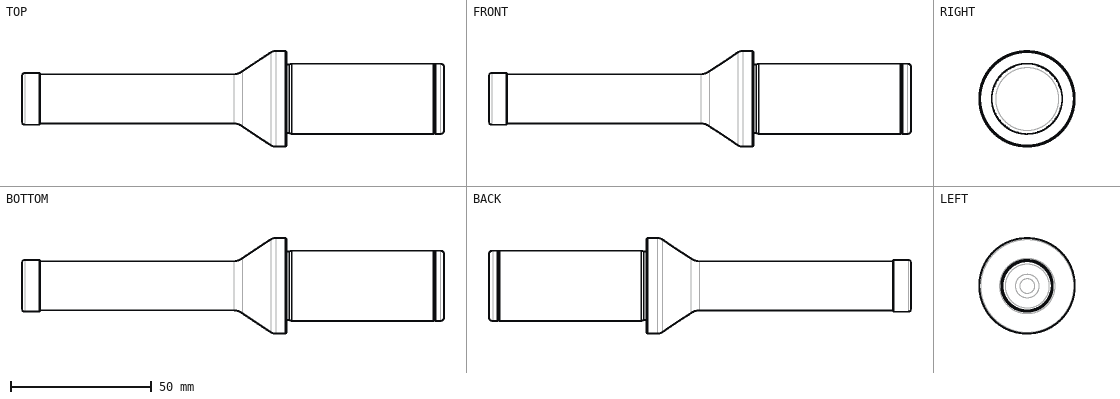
import cadquery as cq
import math

total_length = 150.0

tip_diameter = 18.5
tip_length = 6.6
tip_round_length = 1.0
face_diameter = 15.6
face_bevel_diameter = 17.4
face_bevel_depth = 0.2
tip_round = 1.0
tip_step_run = 0.5

stem_diameter = 17.5
stem_end = 75.3
cone_start = 78.3
cone_start_diameter = 19.6

collar_diameter = 34.0
cone_end = 88.4
cone_end_diameter = 33.0
rim_start = 90.2
collar_end = 94.0
collar_chamfer = 0.5

shank_diameter = 25.0
neck_diameter = 24.5
neck_end = 95.0
neck_taper_end = 95.8

joint_x = 146.5
joint_chamfer = 0.5
cap_round = 1.4

dimple_diameter = 8.4
dimple_depth = 0.2
centre_diameter = 5.2
centre_angle = 160.0


def make_pin():
    """Turned pin: tip, stem, conical collar and shank."""
    tip_radius = tip_diameter / 2
    stem_radius = stem_diameter / 2
    collar_radius = collar_diameter / 2
    shank_radius = shank_diameter / 2
    neck_radius = neck_diameter / 2
    profile = (
        cq.Workplane("XY")
        .lineTo(0, face_diameter / 2)
        .lineTo(face_bevel_depth, face_bevel_diameter / 2)
        .radiusArc((tip_round_length, tip_radius), tip_round)
        .lineTo(tip_length - tip_step_run, tip_radius)
        .lineTo(tip_length, stem_radius)
        .lineTo(stem_end, stem_radius)
        .tangentArcPoint((cone_start, cone_start_diameter / 2), relative=False)
        .lineTo(cone_end, cone_end_diameter / 2)
        .tangentArcPoint((rim_start, collar_radius), relative=False)
        .lineTo(collar_end - collar_chamfer, collar_radius)
        .lineTo(collar_end, collar_radius - collar_chamfer)
        .lineTo(collar_end, neck_radius)
        .lineTo(neck_end, neck_radius)
        .lineTo(neck_taper_end, shank_radius)
        .lineTo(joint_x - joint_chamfer, shank_radius)
        .lineTo(joint_x, shank_radius - joint_chamfer)
        .lineTo(joint_x, 0)
        .close()
    )
    return profile.revolve(360, (0, 0, 0), (1, 0, 0))


def make_centre_dimple():
    """Two nested cones: a wide, very shallow one around a slightly steeper centre."""
    cone_depth = centre_diameter / 2 / math.tan(math.radians(centre_angle / 2))
    profile = (
        cq.Workplane("XY")
        .lineTo(0, dimple_diameter / 2)
        .lineTo(dimple_depth, centre_diameter / 2)
        .lineTo(dimple_depth + cone_depth, 0)
        .close()
    )
    return profile.revolve(360, (0, 0, 0), (1, 0, 0))


def make_end_cap():
    """Disc closing the shank, chamfered at the joint and rounded at the rear."""
    cap_radius = shank_diameter / 2
    profile = (
        cq.Workplane("XY")
        .moveTo(joint_x, 0)
        .lineTo(joint_x, cap_radius - joint_chamfer)
        .lineTo(joint_x + joint_chamfer, cap_radius)
        .lineTo(total_length - cap_round, cap_radius)
        .radiusArc((total_length, cap_radius - cap_round), cap_round)
        .lineTo(total_length, 0)
        .close()
    )
    return profile.revolve(360, (0, 0, 0), (1, 0, 0))


pin = make_pin().cut(make_centre_dimple())
end_cap = make_end_cap()
result = cq.Compound.makeCompound([pin.val(), end_cap.val()])